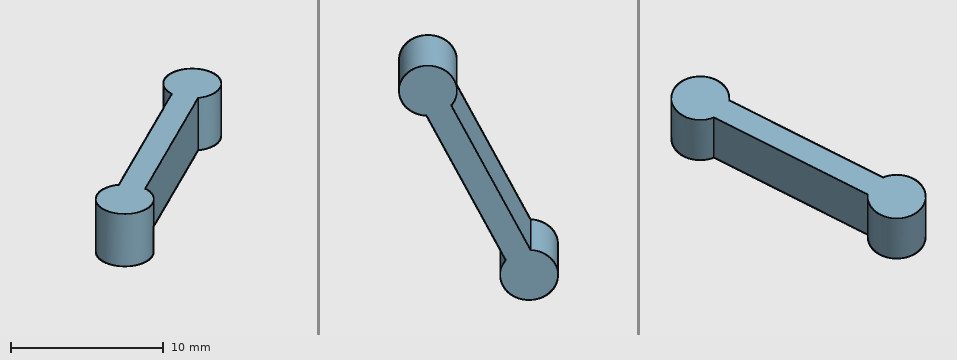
import cadquery as cq

overall_length = 19.23
end_diameter = 3.8
web_thickness = 1.8
height = 4.0

end_spacing = overall_length - end_diameter


def round_ends():
    """Two upright cylinders, one at each end of the link."""
    end_centres = [(0, -end_spacing / 2), (0, end_spacing / 2)]
    return cq.Workplane("XY").pushPoints(end_centres).circle(end_diameter / 2).extrude(height)


def web():
    """Flat wall running from one cylinder axis to the other."""
    return cq.Workplane("XY").rect(web_thickness, end_spacing).extrude(height)


result = web().union(round_ends())